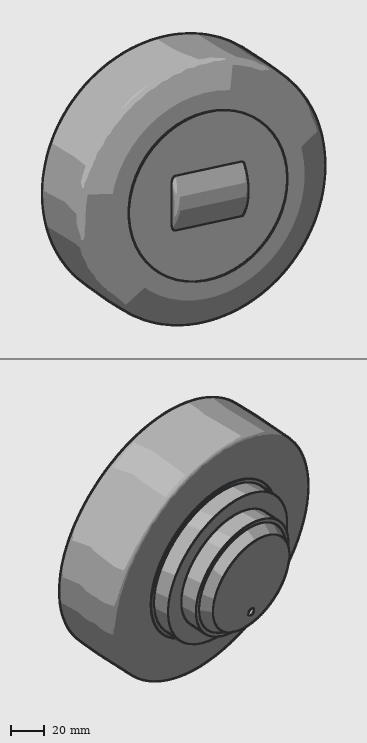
import cadquery as cq
import math

shoulder_x = 7.3
collar_x = 19.2
cover_x = 30.6
wheel_x = 31.1
wheel_face_x = 83.8
cap_x = 84.5
overall_length = 90.8

stub_tip_radius = 33.1
stub_base_radius = 37.4
shoulder_radius = 40.1
collar_radius = 51.7
cover_radius = 54.0
wheel_radius = 85.0

crown_radius = 499.7
crown_center_x = 54.2
inner_rim_fillet = 3.0
outer_rim_fillet = 5.0
bevel_angle = 15.0
bevel_small_radius = 66.3

roller_radius = 27.7
roller_width = 50.0
roller_fillet = 2.5

hole_diameter = 5.1
hole_depth = 8.5
hole_z = -23.6
drill_tip_angle = 118.0


def cylinder(start_x, end_x, radius):
    """Solid cylinder about the X axis."""
    return cq.Workplane("YZ", origin=(start_x, 0, 0)).circle(radius).extrude(end_x - start_x)


def revolve_profile(profile):
    """Turn a closed profile in the XY plane about the X axis."""
    return profile.close().revolve(360, (0, 0, 0), (1, 0, 0))


def crown_height(x):
    """Radius of the crowned tread at axial position x."""
    drop = crown_radius - math.sqrt(crown_radius**2 - (x - crown_center_x) ** 2)
    return wheel_radius - drop


def make_stub():
    tip = revolve_profile(
        cq.Workplane("XY")
        .moveTo(0, 0)
        .lineTo(0, stub_tip_radius)
        .lineTo(shoulder_x, stub_base_radius)
        .lineTo(shoulder_x, 0)
    )
    shoulder = cylinder(shoulder_x, wheel_face_x, shoulder_radius)
    collar = cylinder(collar_x, wheel_face_x, collar_radius)
    return tip.union(shoulder).union(collar)


def make_wheel():
    bevel_slope = math.tan(math.radians(bevel_angle))
    corner_x = wheel_face_x - (wheel_radius - bevel_small_radius) * bevel_slope
    wheel = revolve_profile(
        cq.Workplane("XY")
        .moveTo(wheel_x, 0)
        .lineTo(wheel_x, crown_height(wheel_x))
        .threePointArc((crown_center_x, wheel_radius), (corner_x, crown_height(corner_x)))
        .lineTo(wheel_face_x, bevel_small_radius)
        .lineTo(wheel_face_x, 0)
    )
    inner_rim = cq.selectors.RadiusNthSelector(-1)
    wheel = wheel.faces("<X").edges(inner_rim).fillet(inner_rim_fillet)
    corner_box = cq.selectors.BoxSelector(
        (corner_x - 1.7, -wheel_radius, -wheel_radius),
        (corner_x + 1.7, wheel_radius, wheel_radius),
    )
    return wheel.edges("%CIRCLE").edges(corner_box).fillet(outer_rim_fillet)


def make_side_roller():
    roller = (
        cq.Workplane("XZ", origin=(overall_length - roller_radius, 0, 0))
        .circle(roller_radius)
        .extrude(roller_width / 2, both=True)
    )
    return roller.edges("%CIRCLE").fillet(roller_fillet)


def make_grease_hole():
    hole_radius = hole_diameter / 2
    tip_depth = hole_radius / math.tan(math.radians(drill_tip_angle / 2))
    drill = (
        cq.Workplane("XY")
        .lineTo(0, hole_radius)
        .lineTo(hole_depth, hole_radius)
        .lineTo(hole_depth + tip_depth, 0)
    )
    return revolve_profile(drill).translate((0, 0, hole_z))


result = (
    make_stub()
    .union(make_wheel())
    .union(cylinder(cover_x, cap_x, cover_radius))
    .union(make_side_roller())
    .cut(make_grease_hole())
)